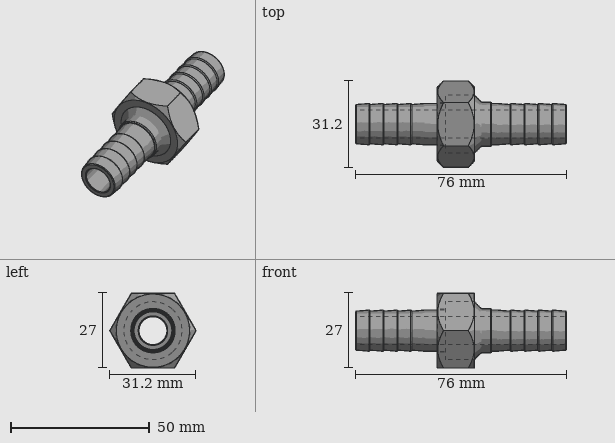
import cadquery as cq
import math

length = 76.0
bore_dia = 10.0
bore_chamfer = 0.3

barb_count = 5
ridge_dia = 15.0
valley_dia = 14.2
barb_cone_length = 4.55
barb_back_length = 0.45
barb_pitch = barb_cone_length + barb_back_length
tip_chamfer = 0.3

nut_start = 29.3
nut_length = 13.5
nut_end = nut_start + nut_length
across_flats = 27.0
across_corners = across_flats / math.cos(math.pi / 6)
left_face_dia = 26.4
right_face_dia = 26.75
clearance_dia = 15.5
clearance_chamfer = 0.265
lip_thickness = 3.05

spigot_dia = 20.9
spigot_start = nut_start + lip_thickness
collar_dia = 15.95
collar_end = 49.1
cone_fillet = 0.6
collar_chamfer_length = 0.5
collar_end_dia = 15.5


def barb_profile():
    """(x, radius) points from the tip at x = 0 to the last ridge."""
    points = [
        (0, valley_dia / 2 - tip_chamfer),
        (tip_chamfer, valley_dia / 2),
    ]
    for i in range(barb_count):
        valley_x = tip_chamfer + i * barb_pitch
        if i > 0:
            points.append((valley_x, valley_dia / 2))
        points.append((valley_x + barb_cone_length, ridge_dia / 2))
    return points


def revolve_about_x(points):
    """Solid of revolution below an (x, radius) outline, closed on the X axis."""
    outline = [(points[0][0], 0)] + points + [(points[-1][0], 0)]
    return cq.Workplane("XY").polyline(outline).close().revolve(360, (0, 0, 0), (1, 0, 0))


def cylinder_x(diameter, start, end):
    """Cylinder about the X axis between two places along it."""
    return cq.Workplane("YZ").workplane(offset=start).circle(diameter / 2).extrude(end - start)


def at_edge(x, radius):
    """Selects the circular edge about X that has the given place and radius."""
    margin = 0.04
    return cq.selectors.BoxSelector(
        (x - margin, -radius - margin, -radius - margin),
        (x + margin, radius + margin, radius + margin),
        boundingbox=True,
    )


def chamfer_cone(face_dia, face_x, direction):
    """45 degree cone that widens from a nut end face through the whole nut."""
    outer_radius = face_dia / 2 + nut_length
    far_x = face_x + direction * nut_length
    return revolve_about_x([(face_x, face_dia / 2), (far_x, outer_radius)])


def countersink(hole_dia, depth, face_x, direction):
    """45 degree cutter that breaks the edge of a hole about X at an end face."""
    radius = hole_dia / 2
    return revolve_about_x([(face_x, radius + depth), (face_x + direction * depth, radius)])


def make_left_tail():
    """Barbed tail whose plain end passes the nut lip and meets the spigot."""
    outline = barb_profile() + [(spigot_start, ridge_dia / 2)]
    tail = revolve_about_x(outline).cut(cylinder_x(bore_dia, 0, spigot_start))
    return tail.cut(countersink(bore_dia, bore_chamfer, 0, 1))


def make_nut():
    """Hexagon with corners on Y, turned chamfers and a stepped bore."""
    hexagon = cq.Workplane("YZ").workplane(offset=nut_start).polygon(6, across_corners).extrude(nut_length)
    nut = hexagon.intersect(chamfer_cone(left_face_dia, nut_start, 1))
    nut = nut.intersect(chamfer_cone(right_face_dia, nut_end, -1))
    nut = nut.cut(cylinder_x(clearance_dia, nut_start, nut_end))
    nut = nut.cut(countersink(clearance_dia, clearance_chamfer, nut_start, 1))
    return nut.cut(cylinder_x(spigot_dia, spigot_start, nut_end))


def make_right_fitting():
    """Spigot inside the nut, 45 degree cone, collar and mirrored barbed tail."""
    cone_end = nut_end + (spigot_dia - collar_dia) / 2
    shoulder = [
        (spigot_start, spigot_dia / 2),
        (nut_end, spigot_dia / 2),
        (cone_end, collar_dia / 2),
        (collar_end - collar_chamfer_length, collar_dia / 2),
        (collar_end, collar_end_dia / 2),
        (collar_end, ridge_dia / 2),
    ]
    barbs = [(length - x, radius) for x, radius in reversed(barb_profile())]
    fitting = revolve_about_x(shoulder + barbs)
    fitting = fitting.edges(at_edge(cone_end, collar_dia / 2)).fillet(cone_fillet)
    fitting = fitting.cut(cylinder_x(bore_dia, spigot_start, length))
    return fitting.cut(countersink(bore_dia, bore_chamfer, length, -1))


left_tail = make_left_tail()
nut = make_nut()
right_fitting = make_right_fitting()

bodies = [left_tail, nut, right_fitting]
result = cq.Compound.makeCompound([body.solids().val() for body in bodies])